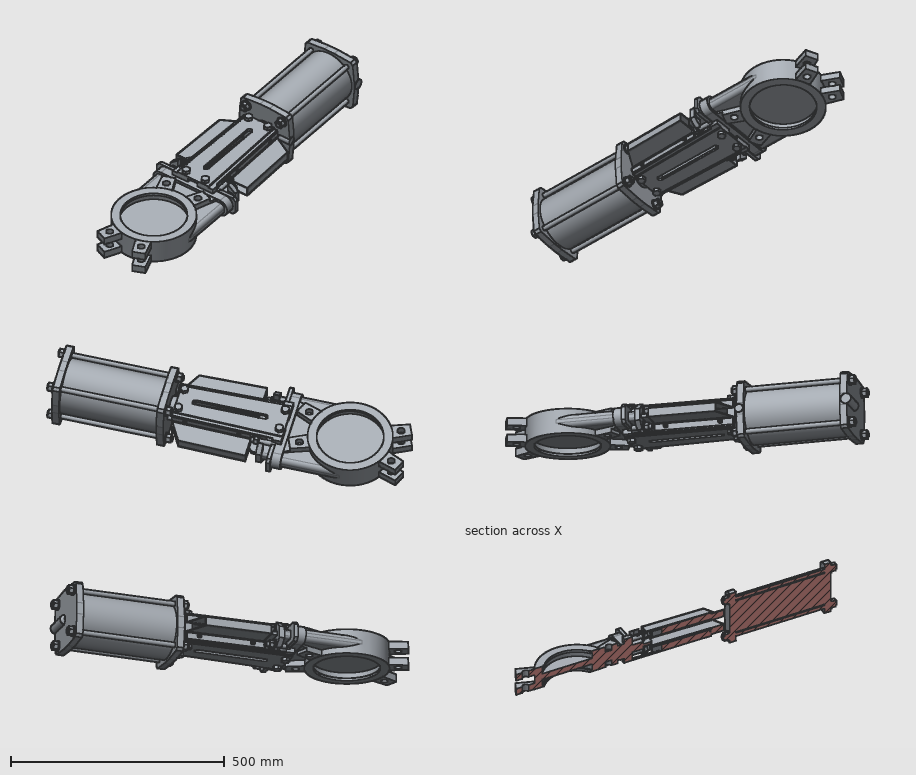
import cadquery as cq
import math


BODY_DIA = 200.0
BODY_HALF_THICK = 30.0
BORE_DIA = 157.0
BORE_LIP_THICK = 6.5
BORE_GROOVE_DIA = 164.0
BORE_FLOOR_Z = 9.0
NECK_HALF_THICK = 15.0
NECK_CORNER_RADIUS = 11.0
FLANGE_Y0 = 142.0
FLANGE_Y1 = 165.0
FLANGE_HALF_WIDTH = 108.0
FLANGE_HALF_THICK = 22.0

LUG_ANGLE = 22.5
LUG_PITCH_RADIUS = 120.0
LUG_TIP_RADIUS = 143.82
LUG_ROOT_RADIUS = 85.0
LUG_TIP_HALF_WIDTH = 16.0
LUG_ROOT_HALF_WIDTH = 19.5
LUG_INNER_Z = 11.0
LUG_OUTER_Z = 29.5
LUG_HOLE_DIA = 17.0
RIB_LENGTH = 22.0
RIB_HALF_THICK = 21.0

TOP_PLATE_HALF_WIDTH = 115.0
TOP_PLATE_HALF_THICK = 23.5
TOP_PLATE_CHAMFER = 8.0
TOP_PLATE_Y1 = 174.0
GATE_HALF_WIDTH = 82.0
GATE_HALF_THICK = 4.0
GATE_TOP_Y = 226.0
GATE_CHAMFER = 9.0
SLEEVE_HALF_WIDTH = 90.0
SLEEVE_HALF_THICK = 11.0
SLEEVE_CORNER_RADIUS = 6.0
GLAND_Y0 = 191.0
GLAND_Y1 = 204.0
GLAND_HALF_WIDTH = 95.0
GLAND_HALF_THICK = 31.0
GLAND_END_HALF = 14.0
GLAND_SHOULDER_X = 74.0
GLAND_SLOT_WIDTH = 27.0
STUD_X = 59.5
STUD_Z = 20.0
STUD_DIA = 12.0
STUD_TOP_Y = 224.0
STUD_NUT_FLATS = 17.0
STUD_NUT_HEIGHT = 10.0
STUD_WASHER_DIA = 24.0
WASHER_THICK = 2.5

YOKE_Y0 = 152.0
YOKE_Y1 = 417.7
YOKE_OUTER_Z = 37.6
YOKE_LEDGE_Z = 34.0
YOKE_INNER_Z = 31.0
YOKE_HALF_BOTTOM = 54.0
YOKE_HALF_TOP = 48.0
YOKE_LEDGE = 8.5
YOKE_LIP_THICK = 3.0
YOKE_LIP_Z = 14.0
YOKE_SLOT_WIDTH = 13.5
YOKE_SLOT_Y0 = 199.0
YOKE_SLOT_Y1 = 381.0
FOOT_HALF_WIDTH = 59.0
FOOT_GAP_HALF_WIDTH = 14.0
FOOT_SEAT_Z = 15.0
YOKE_BOLT_X = 28.0
YOKE_BOLT_YS = (164.0, 408.0)
YOKE_BOLT_FLATS = 17.0
YOKE_BOLT_TOP_Z = 46.0
HEAD_BLOCK_HALF_WIDTH = 36.0
HEAD_BLOCK_Y0 = 399.0

GUARD_Y0 = 227.0
GUARD_SHOULDER_Y = 389.0
GUARD_REACH = 52.0
GUARD_HALF_THICK = 12.3
GUARD_SHEET = 2.0
GUARD_BEND_RADIUS = 3.0
GUARD_FLANGE_Z = 30.0
GUARD_SCREW_YS = (255.0, 387.0)
GUARD_SCREW_Z = 20.0
GUARD_SCREW_DIA = 10.0
GUARD_SCREW_HEIGHT = 2.5
GUARD_SOCKET_DIA = 5.5

CAP_THICK = 17.0
LOWER_CAP_Y0 = 432.7
UPPER_CAP_Y0 = 685.0
CAP_HALF = 73.25
CAP_FLAT_HALF = 14.0
CAP_CORNER_OUTER = 69.0
CAP_CORNER_INNER = 62.5
TUBE_DIA = 133.0
TIE_ROD_OFFSET = 51.6
TIE_ROD_DIA = 12.0
TIE_ROD_Y0 = 415.6
TIE_ROD_Y1 = 717.84
TIE_NUT_FLATS = 19.0
TIE_NUT_HEIGHT = 11.0
TIE_WASHER_DIA = 25.0
STEM_DIA = 25.0
STEM_Y0 = 206.0
NOSE_DIA = 55.0
NOSE_BOLT_DIA = 10.0
NOSE_BOLT_X = 31.0
PORT_DIA = 25.0
PORT_INNER_X = 10.6
PORT_OUTER_X = 74.5
PORT_TIP_LENGTH = 8.0
PORT_PROTRUSION = 10.3
LOWER_PORT_DIA = 20.0
LOWER_PORT_PROTRUSION = 4.0
LOWER_PORT_X = 42.0

SIDES = (-1, 1)


def box(x0, x1, y0, y1, z0, z1):
    """Box between two opposite corners."""
    size = (x1 - x0, y1 - y0, z1 - z0)
    return cq.Workplane("XY").box(*size, centered=False).translate((x0, y0, z0))


def section(y):
    """Workplane across the valve at height y; its local axes are -X and Z, extruding to +Y."""
    return cq.Workplane(cq.Plane(origin=(0, y, 0), xDir=(-1, 0, 0), normal=(0, 1, 0)))


def rod(dia, x, z, y0, y1):
    """Round bar along Y."""
    return section(y0).center(-x, z).circle(dia / 2).extrude(y1 - y0)


def hex_along_y(flats, x, z, y0, y1):
    """Hexagonal nut along Y with its corners pointing in X."""
    corners = flats / math.cos(math.pi / 6)
    return section(y0).center(-x, z).polygon(6, corners).extrude(y1 - y0)


def merge(solids):
    """Union of all the given solids."""
    total = solids[0]
    for solid in solids[1:]:
        total = total.union(solid)
    return total


def mirrored_outline(plane, quarter):
    """Closed outline, symmetric about both axes, from its first-quadrant points."""
    upper = quarter + [(-x, z) for x, z in reversed(quarter)]
    lower = [(-x, -z) for x, z in upper]
    return plane.polyline(upper + lower).close()


def lug(direction, side, z_side):
    """Tapered bolting lug; those at the neck end are solid to mid-plane and carry on as a lower rib."""
    if direction > 0:
        inner_z = 0.0
    else:
        inner_z = LUG_INNER_Z
    angle = direction * (90 - side * LUG_ANGLE)
    outline = [
        (LUG_ROOT_RADIUS, -LUG_ROOT_HALF_WIDTH),
        (LUG_TIP_RADIUS, -LUG_TIP_HALF_WIDTH),
        (LUG_TIP_RADIUS, LUG_TIP_HALF_WIDTH),
        (LUG_ROOT_RADIUS, LUG_ROOT_HALF_WIDTH),
    ]
    height = LUG_OUTER_Z - inner_z
    solid = cq.Workplane("XY").polyline(outline).close().extrude(height)
    if direction > 0:
        rib = cq.Workplane("XY").center(LUG_TIP_RADIUS, 0)
        rib = rib.rect(2 * RIB_LENGTH, 2 * LUG_TIP_HALF_WIDTH).extrude(RIB_HALF_THICK)
        solid = solid.union(rib)
    solid = solid.translate((0, 0, inner_z))
    if z_side < 0:
        solid = solid.mirror("XY")
    return solid.rotate((0, 0, 0), (0, 0, 1), angle)


def body():
    """Round body with its neck, flange, lugs and blind bores."""
    disc = cq.Workplane("XY").workplane(offset=-BODY_HALF_THICK)
    disc = disc.circle(BODY_DIA / 2).extrude(2 * BODY_HALF_THICK)
    neck = section(0).rect(BODY_DIA, 2 * NECK_HALF_THICK).extrude(FLANGE_Y0)
    neck = neck.edges("|Y").fillet(NECK_CORNER_RADIUS)
    flange = section(FLANGE_Y0).slot2D(2 * FLANGE_HALF_WIDTH, 2 * FLANGE_HALF_THICK)
    flange = flange.extrude(FLANGE_Y1 - FLANGE_Y0)
    lugs = [lug(end, side, face) for end in SIDES for side in SIDES for face in SIDES]
    solid = merge([disc, neck, flange] + lugs)

    for face in SIDES:
        floor = cq.Workplane("XY").workplane(offset=face * BORE_FLOOR_Z)
        solid = solid.cut(floor.circle(BORE_DIA / 2).extrude(face * BODY_HALF_THICK))
        groove_height = BODY_HALF_THICK - BORE_LIP_THICK - BORE_FLOOR_Z
        solid = solid.cut(floor.circle(BORE_GROOVE_DIA / 2).extrude(face * groove_height))
    angle = math.radians(LUG_ANGLE)
    hole_x = LUG_PITCH_RADIUS * math.sin(angle)
    hole_y = LUG_PITCH_RADIUS * math.cos(angle)
    lower_holes = cq.Workplane("XY").pushPoints([(side * hole_x, -hole_y) for side in SIDES])
    solid = solid.cut(lower_holes.circle(LUG_HOLE_DIA / 2).extrude(BODY_HALF_THICK, both=True))
    for face in SIDES:
        upper_holes = cq.Workplane("XY").workplane(offset=face * NECK_HALF_THICK)
        upper_holes = upper_holes.pushPoints([(side * hole_x, hole_y) for side in SIDES])
        solid = solid.cut(upper_holes.circle(LUG_HOLE_DIA / 2).extrude(face * BODY_HALF_THICK))
    return solid


def gate_and_gland():
    """Top plate, gate end and the gland with its studs and nuts."""
    top_plate = section(FLANGE_Y1).rect(2 * TOP_PLATE_HALF_WIDTH, 2 * TOP_PLATE_HALF_THICK)
    top_plate = top_plate.extrude(TOP_PLATE_Y1 - FLANGE_Y1)
    top_plate = top_plate.edges("|Y").chamfer(TOP_PLATE_CHAMFER)
    gate = box(-GATE_HALF_WIDTH, GATE_HALF_WIDTH, FLANGE_Y1, GATE_TOP_Y, -GATE_HALF_THICK, GATE_HALF_THICK)
    gate = gate.edges("|Z and >Y").chamfer(GATE_CHAMFER)
    sleeve = section(FLANGE_Y1).rect(2 * SLEEVE_HALF_WIDTH, 2 * SLEEVE_HALF_THICK)
    sleeve = sleeve.extrude(GLAND_Y1 - FLANGE_Y1).edges("|Y").fillet(SLEEVE_CORNER_RADIUS)
    quarter = [(GLAND_HALF_WIDTH, GLAND_END_HALF), (GLAND_SHOULDER_X, GLAND_HALF_THICK)]
    gland = mirrored_outline(section(GLAND_Y0), quarter).extrude(GLAND_Y1 - GLAND_Y0)
    for x in (-STUD_X, STUD_X):
        for side in SIDES:
            slot_z = side * (SLEEVE_HALF_THICK + GLAND_HALF_THICK / 2)
            slot = section(GLAND_Y0).center(-x, slot_z).rect(GLAND_SLOT_WIDTH, GLAND_HALF_THICK)
            gland = gland.cut(slot.extrude(GLAND_Y1 - GLAND_Y0))
    parts = [top_plate, gate, sleeve, gland]
    nut_y = GLAND_Y1 + WASHER_THICK
    for x in (-STUD_X, STUD_X):
        for z in (-STUD_Z, STUD_Z):
            parts.append(rod(STUD_DIA, x, z, FLANGE_Y1, STUD_TOP_Y))
            parts.append(rod(STUD_WASHER_DIA, x, z, GLAND_Y1, nut_y))
            parts.append(hex_along_y(STUD_NUT_FLATS, x, z, nut_y, nut_y + STUD_NUT_HEIGHT))
    return merge(parts)


def yoke_half_width(y):
    """Half width of the tapered yoke at height y."""
    share = (y - YOKE_Y0) / (YOKE_Y1 - YOKE_Y0)
    return YOKE_HALF_BOTTOM + share * (YOKE_HALF_TOP - YOKE_HALF_BOTTOM)


def tapered_plate(inset, z0, z1):
    """Full-length yoke plate whose edges lie `inset` inside the yoke edge."""
    bottom = yoke_half_width(YOKE_Y0) - inset
    top = yoke_half_width(YOKE_Y1) - inset
    outline = [(-bottom, YOKE_Y0), (bottom, YOKE_Y0), (top, YOKE_Y1), (-top, YOKE_Y1)]
    return cq.Workplane("XY").workplane(offset=z0).polyline(outline).close().extrude(z1 - z0)


def edge_strip(outset0, outset1, z0, z1):
    """Strip along the +X yoke edge over the guard length, between two offsets from that edge."""
    bottom = yoke_half_width(GUARD_Y0)
    top = yoke_half_width(YOKE_Y1)
    outline = [
        (bottom + outset0, GUARD_Y0),
        (bottom + outset1, GUARD_Y0),
        (top + outset1, YOKE_Y1),
        (top + outset0, YOKE_Y1),
    ]
    return cq.Workplane("XY").workplane(offset=z0).polyline(outline).close().extrude(z1 - z0)


def yoke_side():
    """Upper yoke plate with its ledges, edge lips, feet and bolt heads."""
    plate = tapered_plate(0, YOKE_INNER_Z, YOKE_LEDGE_Z)
    plate = plate.union(tapered_plate(YOKE_LEDGE, YOKE_LEDGE_Z, YOKE_OUTER_Z))
    slot_length = YOKE_SLOT_Y1 - YOKE_SLOT_Y0
    slot = cq.Workplane("XY").workplane(offset=YOKE_INNER_Z)
    slot = slot.center(0, (YOKE_SLOT_Y0 + YOKE_SLOT_Y1) / 2).slot2D(slot_length, YOKE_SLOT_WIDTH, 90)
    plate = plate.cut(slot.extrude(YOKE_OUTER_Z - YOKE_INNER_Z))
    lip = edge_strip(-YOKE_LIP_THICK, 0, YOKE_LIP_Z, YOKE_LEDGE_Z)
    foot = box(FOOT_GAP_HALF_WIDTH, FOOT_HALF_WIDTH, YOKE_Y0, TOP_PLATE_Y1, FOOT_SEAT_Z, YOKE_LEDGE_Z)
    parts = [plate]
    for edge_part in (lip, foot):
        parts += [edge_part, edge_part.mirror("YZ")]
    corners = YOKE_BOLT_FLATS / math.cos(math.pi / 6)
    for y in YOKE_BOLT_YS:
        heads = cq.Workplane("XY").workplane(offset=YOKE_LEDGE_Z)
        heads = heads.pushPoints([(-YOKE_BOLT_X, y), (YOKE_BOLT_X, y)])
        parts.append(heads.polygon(6, corners).extrude(YOKE_BOLT_TOP_Z - YOKE_LEDGE_Z))
    return merge(parts)


def yoke():
    """Both yoke plates, tied together by the head block."""
    side = yoke_side()
    half_width = HEAD_BLOCK_HALF_WIDTH
    head_block = box(-half_width, half_width, HEAD_BLOCK_Y0, YOKE_Y1, -YOKE_LEDGE_Z, YOKE_LEDGE_Z)
    return merge([side, side.mirror("XY"), head_block])


def guard_outline():
    """Guard plan view: outer wall parallel to the yoke edge, sloping upper end."""
    bottom = yoke_half_width(GUARD_Y0)
    return [
        (bottom, GUARD_Y0),
        (bottom + GUARD_REACH, GUARD_Y0),
        (yoke_half_width(GUARD_SHOULDER_Y) + GUARD_REACH, GUARD_SHOULDER_Y),
        (yoke_half_width(YOKE_Y1), YOKE_Y1),
    ]


def guard_wall_centre():
    """Middle of the outer guard wall."""
    y = (GUARD_Y0 + GUARD_SHOULDER_Y) / 2
    return (yoke_half_width(y) + GUARD_REACH, y, 0)


def guard():
    """Bent-sheet guard on the +X side: a hollow wing, open at both ends, with flanges screwed to the yoke."""
    wing = cq.Workplane("XY").polyline(guard_outline()).close()
    wing = wing.extrude(2 * GUARD_HALF_THICK).translate((0, 0, -GUARD_HALF_THICK))
    outer_wall = cq.selectors.NearestToPointSelector(guard_wall_centre())
    wing = wing.faces(outer_wall).edges("not |Z").fillet(GUARD_BEND_RADIUS)
    inner_half = GUARD_HALF_THICK - GUARD_SHEET
    wing = wing.cut(edge_strip(0, GUARD_REACH - GUARD_SHEET, -inner_half, inner_half))
    flange = edge_strip(0, GUARD_SHEET, inner_half, GUARD_FLANGE_Z)
    parts = [wing, flange, flange.mirror("XY")]
    for y in GUARD_SCREW_YS:
        seat_x = yoke_half_width(y)
        for z in (-GUARD_SCREW_Z, GUARD_SCREW_Z):
            screw = cq.Workplane("YZ").workplane(offset=seat_x).center(y, z)
            screw = screw.circle(GUARD_SCREW_DIA / 2).extrude(GUARD_SHEET + GUARD_SCREW_HEIGHT)
            screw = screw.faces(">X").workplane().hole(GUARD_SOCKET_DIA, GUARD_SCREW_HEIGHT)
            parts.append(screw)
    return merge(parts)


def end_cap(y0):
    """Square cap with bulged sides and chamfered corners."""
    quarter = [
        (CAP_HALF, CAP_FLAT_HALF),
        (CAP_CORNER_OUTER, CAP_CORNER_INNER),
        (CAP_CORNER_INNER, CAP_CORNER_OUTER),
        (CAP_FLAT_HALF, CAP_HALF),
    ]
    return mirrored_outline(section(y0), quarter).extrude(CAP_THICK)


def upper_port():
    """Air inlet boss along +X on the upper cap, with a conical inner end."""
    y = UPPER_CAP_Y0 + CAP_THICK + PORT_PROTRUSION - PORT_DIA / 2
    inner_x = PORT_INNER_X - PORT_TIP_LENGTH
    boss = cq.Workplane("YZ").workplane(offset=inner_x).center(y, 0)
    boss = boss.circle(PORT_DIA / 2).extrude(PORT_OUTER_X - inner_x)
    return boss.faces("<X").chamfer(PORT_TIP_LENGTH)


def lower_port():
    """Air inlet boss along +X on the lower cap."""
    y = LOWER_CAP_Y0 - LOWER_PORT_PROTRUSION + LOWER_PORT_DIA / 2
    boss = cq.Workplane("YZ").workplane(offset=LOWER_PORT_X).center(y, 0)
    return boss.circle(LOWER_PORT_DIA / 2).extrude(PORT_OUTER_X - LOWER_PORT_X)


def tie_rod(x, z):
    """Tie rod with a washer and nut outside each cap."""
    upper_seat = UPPER_CAP_Y0 + CAP_THICK
    nut_top = upper_seat + WASHER_THICK + TIE_NUT_HEIGHT
    nut_bottom = LOWER_CAP_Y0 - WASHER_THICK - TIE_NUT_HEIGHT
    return merge([
        rod(TIE_ROD_DIA, x, z, TIE_ROD_Y0, TIE_ROD_Y1),
        rod(TIE_WASHER_DIA, x, z, upper_seat, upper_seat + WASHER_THICK),
        hex_along_y(TIE_NUT_FLATS, x, z, upper_seat, nut_top),
        rod(TIE_WASHER_DIA, x, z, LOWER_CAP_Y0 - WASHER_THICK, LOWER_CAP_Y0),
        hex_along_y(TIE_NUT_FLATS, x, z, nut_bottom, LOWER_CAP_Y0),
    ])


def cylinder():
    """Pneumatic cylinder with its caps, ports, tie rods and stem."""
    parts = [
        end_cap(LOWER_CAP_Y0),
        end_cap(UPPER_CAP_Y0),
        rod(TUBE_DIA, 0, 0, LOWER_CAP_Y0, UPPER_CAP_Y0),
        rod(NOSE_DIA, 0, 0, YOKE_Y1, LOWER_CAP_Y0),
        rod(STEM_DIA, 0, 0, STEM_Y0, YOKE_Y1),
        upper_port(),
        lower_port(),
        rod(NOSE_BOLT_DIA, -NOSE_BOLT_X, 0, YOKE_Y1, LOWER_CAP_Y0),
        rod(NOSE_BOLT_DIA, NOSE_BOLT_X, 0, YOKE_Y1, LOWER_CAP_Y0),
    ]
    for x in (-TIE_ROD_OFFSET, TIE_ROD_OFFSET):
        for z in (-TIE_ROD_OFFSET, TIE_ROD_OFFSET):
            parts.append(tie_rod(x, z))
    return merge(parts)


right_guard = guard()
result = merge([body(), gate_and_gland(), yoke(), right_guard, right_guard.mirror("YZ"), cylinder()])